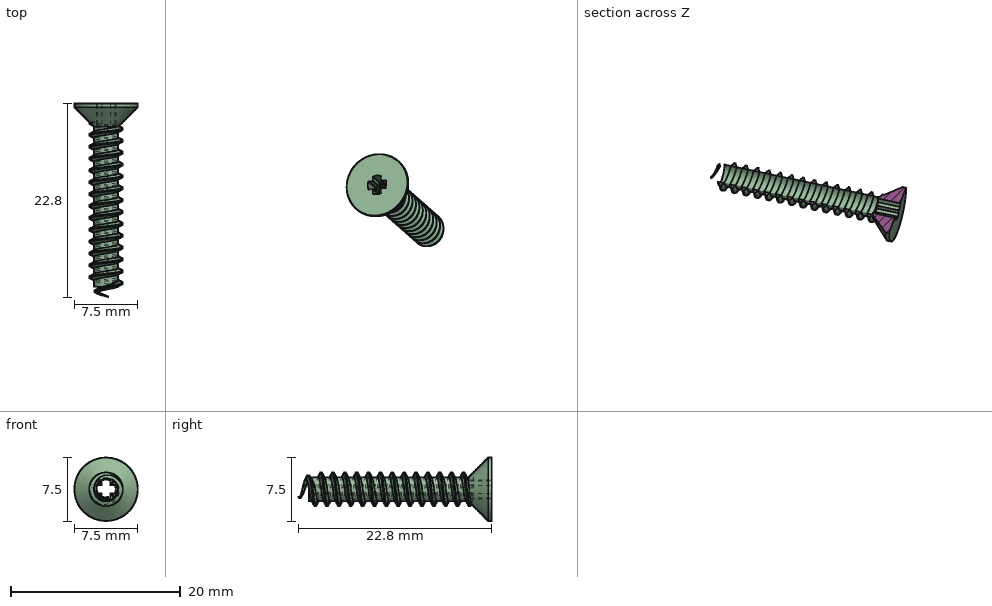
import cadquery as cq
import math

total_length = 22.83

head_radius = 7.5 / 2
rim_thickness = 0.43
shank_radius = 1.44
head_length = rim_thickness + head_radius - shank_radius

shank_end = 21.62
bore_radius = 1.37

cross_radius = 1.15
cross_arm_width = 0.98
groove_width = 0.11
groove_depth = 0.11
groove_reach = 1.3

thread_length = 19.59
head_turns = 2
shank_turns = 12
pitch = thread_length / (head_turns + shank_turns)
taper_start = 21.19
taper_sweep = 285.0
crest_radius = 1.99
root_radius = 1.4
root_width = 0.78
crest_width = 0.15

tip_crest_radius = 0.98
tip_root_radius = 0.91
tip_root_width = 0.07
tip_crest_width = 0.05
tip_sections = 24


def cylinder(radius, start, end):
    """Cylinder on the screw axis between two distances from the head face."""
    direction = cq.Vector(0, -1, 0)
    return cq.Workplane(obj=cq.Solid.makeCylinder(radius, end - start, cq.Vector(0, -start, 0), direction))


def make_head():
    """Countersunk head with a cylindrical rim."""
    outline = [
        (0, 0),
        (head_radius, 0),
        (head_radius, -rim_thickness),
        (shank_radius, -head_length),
        (0, -head_length),
    ]
    return cq.Workplane("XY").polyline(outline).close().revolve(360, (0, 0, 0), (0, 1, 0))


def make_recess():
    """Cross with rounded arm ends, passing right through the head."""
    arm = cq.Workplane("XY").box(2 * cross_radius, 2 * head_length, cross_arm_width)
    cross = arm.union(arm.rotate((0, 0, 0), (0, 1, 0), 90))
    return cross.intersect(cylinder(cross_radius, 0, head_length))


def make_grooves():
    """Four shallow diagonal grooves in the floor of the bore."""
    bar = cq.Workplane("XY").box(2 * groove_reach, 2 * groove_depth, groove_width)
    bar = bar.translate((0, -head_length, 0)).rotate((0, 0, 0), (0, 1, 0), 45)
    return bar.union(bar.rotate((0, 0, 0), (0, 1, 0), 90))


def blend(start, end, fraction):
    """Linear step from start to end as fraction goes from 0 to 1."""
    return start + (end - start) * fraction


def thread_profile(root, crest, root_base, crest_top):
    """Trapezoid corners as (radius, offset along the axis)."""
    return [(root, -root_base / 2), (crest, -crest_top / 2), (crest, crest_top / 2), (root, root_base / 2)]


def tip_section(fraction):
    """Section corners of the run-out; fraction goes from full form (0) to the tip (1)."""
    angle = math.radians(taper_sweep) * fraction
    distance = blend(taper_start, total_length - tip_root_width / 2, fraction)
    profile = thread_profile(
        blend(root_radius, tip_root_radius, fraction),
        blend(crest_radius, tip_crest_radius, fraction),
        blend(root_width, tip_root_width, fraction),
        blend(crest_width, tip_crest_width, fraction),
    )
    return [
        cq.Vector(radius * math.cos(angle), -(distance + offset), radius * math.sin(angle))
        for radius, offset in profile
    ]


def skin(sections):
    """Solid whose four long faces run through the corners of successive sections."""
    rails = [cq.Edge.makeSpline(list(points)) for points in zip(*sections)]
    faces = [cq.Face.makeRuledSurface(rails[i - 1], rails[i]) for i in range(len(rails))]
    for section in (sections[0], sections[-1]):
        faces.append(cq.Face.makeFromWires(cq.Wire.makePolygon(section, close=True)))
    return cq.Workplane(obj=cq.Solid.makeSolid(cq.Shell.makeShell(faces)).fix())


def make_thread(turns, end):
    """Right-handed thread of constant form that starts and ends at +X."""
    length = pitch * turns
    profile = thread_profile(root_radius, crest_radius, root_width, crest_width)
    helix = cq.Workplane(obj=cq.Wire.makeHelix(pitch, length, shank_radius))
    thread = cq.Workplane("XZ").polyline(profile).close().sweep(helix, isFrenet=True)
    return thread.rotate((0, 0, 0), (1, 0, 0), 90).translate((0, length - end, 0))


def make_thread_tip():
    """Conical run-out of the thread beyond the shank end."""
    return skin([tip_section(step / tip_sections) for step in range(tip_sections + 1)])


def make_shank():
    """Threaded tube, rooted inside the head and ending in the wire-like thread tip."""
    bore = cylinder(bore_radius, rim_thickness, shank_end)
    tube = cylinder(shank_radius, rim_thickness, shank_end).cut(bore)
    shank_thread = make_thread(shank_turns, taper_start)
    head_thread = make_thread(head_turns, taper_start - pitch * shank_turns)
    return tube.union(shank_thread).union(head_thread).union(make_thread_tip())


head = make_head().cut(make_recess()).cut(make_grooves())
result = cq.Workplane(obj=make_shank().union(head).solids().val())